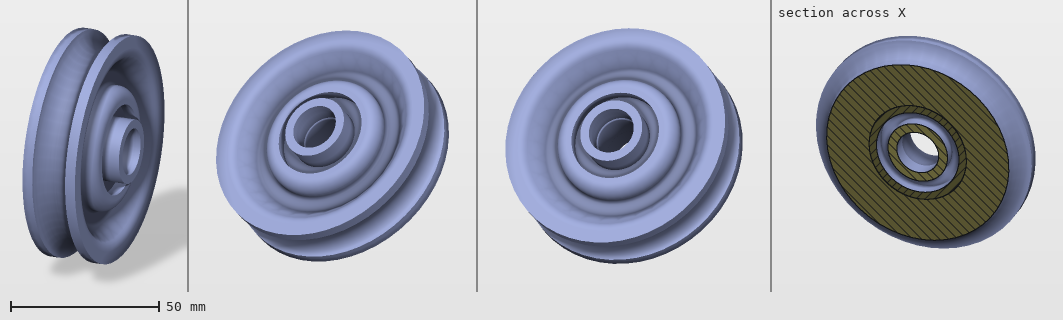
import cadquery as cq
import math


rim_radius = 39.0
rim_half_width = 9.6
groove_radius = 6.0
web_half_thickness = 3.0
dish_mouth_radius = 32.9
dish_base_radius = 26.45
dish_mouth_fillet = 4.0
dish_base_fillet = 1.5

hub_radius = 21.5
hub_edge_fillet = 4.0
hub_base_fillet = 1.0
lip_radius = 15.5

bearing_radius = 17.5
bearing_half_width = 5.5
bearing_bore_radius = 7.5
bearing_bore_fillet = 0.5
outer_ring_inner_radius = 14.8
inner_ring_outer_radius = 10.85
shield_thickness = 1.0

spacer_radius = 11.0
spacer_bore_radius = bearing_bore_radius + bearing_bore_fillet
spacer_end = 13.9

SIDES = (-1, 1)


def turn(section):
    """Solid from turning a closed section once around the X axis."""
    return section.revolve(360, (0, 0, 0), (1, 0, 0))


def ring(x_start, x_end, inner_radius, outer_radius):
    """Plain ring along the X axis."""
    section = (
        cq.Workplane("XZ")
        .moveTo(x_start, inner_radius)
        .lineTo(x_end, inner_radius)
        .lineTo(x_end, outer_radius)
        .lineTo(x_start, outer_radius)
        .close()
    )
    return turn(section)


def round_circle(body, x, radius, fillet):
    """Body with its circular edge of this radius, in the plane at x, rounded."""
    tolerance = 0.01
    circle = body.edges("%CIRCLE").filter(
        lambda edge: abs(edge.radius() - radius) < tolerance
        and abs(edge.Center().x - x) < tolerance
    )
    return circle.fillet(fillet)


def wheel_half(side):
    """Half of the wheel on one side of the plane x = 0, with groove, dish, hub and bearing seat."""
    face = side * rim_half_width
    web = side * web_half_thickness
    seat = side * bearing_half_width
    groove_edge = side * groove_radius
    groove_mid = groove_radius * math.sqrt(0.5)

    section = (
        cq.Workplane("XZ")
        .moveTo(0, bearing_radius)
        .lineTo(seat, bearing_radius)
        .lineTo(seat, lip_radius)
        .lineTo(face, lip_radius)
        .lineTo(face, hub_radius)
        .lineTo(web, hub_radius)
        .lineTo(web, dish_base_radius)
        .lineTo(face, dish_mouth_radius)
        .lineTo(face, rim_radius)
        .lineTo(groove_edge, rim_radius)
        .threePointArc((side * groove_mid, rim_radius - groove_mid), (0, rim_radius - groove_radius))
        .close()
    )
    body = round_circle(turn(section), face, hub_radius, hub_edge_fillet)
    body = round_circle(body, web, hub_radius, hub_base_fillet)
    body = round_circle(body, web, dish_base_radius, dish_base_fillet)
    return round_circle(body, face, dish_mouth_radius, dish_mouth_fillet)


def outer_ring():
    """Outer bearing ring, clamped between the two wheel halves."""
    return ring(-bearing_half_width, bearing_half_width, outer_ring_inner_radius, bearing_radius)


def inner_ring():
    """Inner bearing ring with rounded bore edges."""
    body = ring(
        -bearing_half_width, bearing_half_width, bearing_bore_radius, inner_ring_outer_radius
    )
    for side in SIDES:
        body = round_circle(
            body, side * bearing_half_width, bearing_bore_radius, bearing_bore_fillet
        )
    return body


def shield(side):
    """Flat shield that closes the gap between the rings, flush with their faces."""
    return ring(
        side * (bearing_half_width - shield_thickness),
        side * bearing_half_width,
        inner_ring_outer_radius,
        outer_ring_inner_radius,
    )


def spacer(side):
    """Sleeve that stands on the bearing's inner ring and sticks out of the hub."""
    return ring(
        side * bearing_half_width, side * spacer_end, spacer_bore_radius, spacer_radius
    )


wheel_halves = [wheel_half(side).val() for side in SIDES]
shields = [shield(side).val() for side in SIDES]
spacers = [spacer(side).val() for side in SIDES]

result = cq.Compound.makeCompound(
    [*wheel_halves, outer_ring().val(), inner_ring().val(), *shields, *spacers]
)